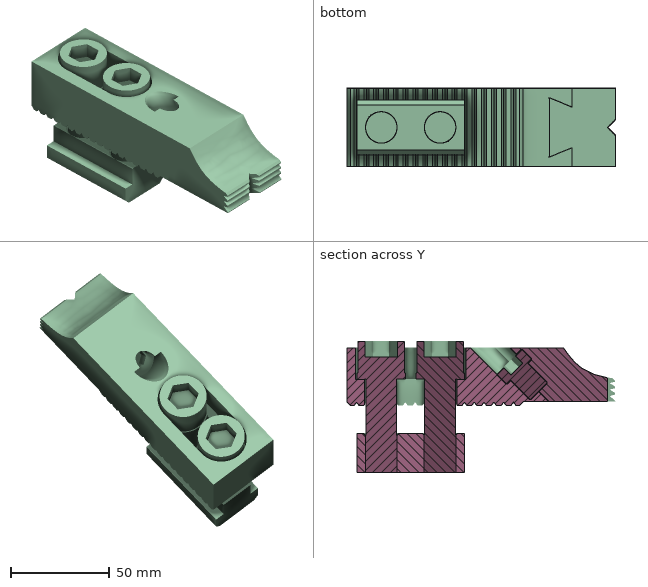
import cadquery as cq
import math

nut_top = 20.0
base_bottom = 34.1
base_height = 29.6
base_top = base_bottom + base_height
screw_top = 67.0

width = 40.0
tooth_band = 1.9
jaw_bottom = base_bottom + tooth_band
jaw_height = base_top - jaw_bottom
joint_top_x = 87.0
joint_bottom_x = joint_top_x + jaw_height

first_notch_x = 5.0
last_notch_x = 85.0
notch_count = 17
notch_pitch = (last_notch_x - first_notch_x) / (notch_count - 1)
notch_half_width = 1.2
notch_depth = 1.6
strip_lead = 1.8
strip_end_x = 88.1

dovetail_depth = 11.4
dovetail_tip_width = 30.1
dovetail_root_width = 20.8
dovetail_tip_x = joint_top_x - dovetail_depth

jaw_tip_x = 137.0
slope_start_x = 110.4
slope_middle = (119.6, 53.4)
slope_start_angle = -56.0
slope_end_angle = -8.0
nose_end = (135.6, 48.0)
nose_chamfer = 1.1
crest_x = nose_end[0] + nose_chamfer
grip_count = 3
grip_pitch = 3.3
grip_top_z = 45.5
grip_root_x = 134.1
grip_upper_rise = 0.7
grip_lower_drop = 1.6
lip_height = 0.4
vee_depth = 4.0

screw_xs = (17.5, 47.5)
screw_pitch = screw_xs[1] - screw_xs[0]
screws_mid_x = sum(screw_xs) / 2
shank_diameter = 16.0
head_diameter = 24.0
head_height = 16.0
head_hex_flats = 14.0
head_hex_depth = 8.0
collar_diameter = 25.1
collar_height = 3.3
collar_bottom = screw_top - head_height - collar_height
head_slot_width = 26.0
shank_slot_width = 17.0

nut_length = 55.0
nut_width = 28.0
nut_neck_width = 18.0
nut_foot_height = 10.1
nut_chamfer = 2.5
countersink_diameter = 17.8

jaw_screw_diameter = 12.0
jaw_screw_length = 14.0
jaw_head_diameter = 18.0
jaw_head_height = 7.0
jaw_head_sink = 10.3
jaw_hex_flats = 8.0
jaw_hex_depth = 5.2
jaw_hex_turn = 18.0
key_hole_diameter = 10.1


def hexagon_diameter(flats):
    return flats / math.cos(math.pi / 6)


def side_profile(points):
    """Closed XZ outline extruded over the full width, centred on Y = 0."""
    return cq.Workplane("XZ", origin=(0, width / 2, 0)).polyline(points).close().extrude(width)


def jaw_screw_plane(depth):
    """Plane across the jaw screw axis; its normal points down the axis."""
    step = depth / math.sqrt(2)
    origin = (dovetail_tip_x + step, 0, base_top - step)
    return cq.Workplane(cq.Plane(origin=origin, xDir=(0, 1, 0), normal=(1, 0, -1)))


def make_dovetail():
    """Trapezoid on the top face, swept down along the joint."""
    tip = dovetail_tip_width / 2
    root = dovetail_root_width / 2
    outline = [(dovetail_tip_x, -tip), (joint_top_x, -root), (joint_top_x, root), (dovetail_tip_x, tip)]
    corners = [cq.Vector(x, y, base_top) for x, y in outline]
    wire = cq.Wire.makePolygon(corners, close=True)
    sweep = cq.Vector(jaw_height, 0, -jaw_height)
    return cq.Workplane(cq.Solid.extrudeLinear(wire, [], sweep))


def make_jaw_screw_blank():
    """Jaw screw without its socket: head above, shank below."""
    head = jaw_screw_plane(jaw_head_sink).circle(jaw_head_diameter / 2).extrude(jaw_head_height)
    shank_start = jaw_head_sink + jaw_head_height
    shank = jaw_screw_plane(shank_start).circle(jaw_screw_diameter / 2).extrude(jaw_screw_length)
    return head.union(shank)


def make_jaw_screw():
    socket = (
        jaw_screw_plane(jaw_head_sink)
        .transformed(rotate=(0, 0, jaw_hex_turn))
        .polygon(6, hexagon_diameter(jaw_hex_flats))
        .extrude(jaw_hex_depth)
    )
    return make_jaw_screw_blank().cut(socket)


def make_base():
    points = [(0, base_top), (0, jaw_bottom), (strip_lead, base_bottom)]
    for index in range(notch_count):
        x = first_notch_x + index * notch_pitch
        points.append((x - notch_half_width, base_bottom))
        points.append((x, base_bottom + notch_depth))
        points.append((x + notch_half_width, base_bottom))
    points.append((strip_end_x, base_bottom))
    points.append((strip_end_x + strip_lead, jaw_bottom))
    points.append((joint_bottom_x, jaw_bottom))
    points.append((joint_top_x, base_top))
    base = side_profile(points).cut(make_dovetail())

    slot_start = cq.Workplane("XY").center(screws_mid_x, 0)
    head_slot = slot_start.workplane(offset=collar_bottom).slot2D(
        screw_pitch + head_slot_width, head_slot_width
    ).extrude(base_height)
    shank_slot = slot_start.workplane(offset=base_bottom).slot2D(
        screw_pitch + shank_slot_width, shank_slot_width
    ).extrude(base_height)

    bore_length = jaw_head_diameter + jaw_head_sink + jaw_head_height
    bore = jaw_screw_plane(-jaw_head_diameter).circle(jaw_head_diameter / 2).extrude(bore_length)
    return base.cut(head_slot).cut(shank_slot).cut(bore).cut(make_jaw_screw_blank())


def direction(degrees):
    """Unit vector in the XZ outline at an angle from the X axis."""
    angle = math.radians(degrees)
    return math.cos(angle), math.sin(angle)


def make_jaw():
    slope_tangents = [direction(slope_start_angle), direction(slope_end_angle)]
    outline = (
        cq.Workplane("XZ", origin=(0, width / 2, 0))
        .moveTo(joint_top_x, base_top)
        .lineTo(slope_start_x, base_top)
        .spline([slope_middle, nose_end], tangents=slope_tangents, includeCurrent=True)
        .lineTo(crest_x, nose_end[1] - nose_chamfer)
    )
    for index in range(grip_count):
        root_z = grip_top_z - index * grip_pitch
        outline = outline.lineTo(crest_x, root_z + grip_upper_rise).lineTo(grip_root_x, root_z)
        if index < grip_count - 1:
            outline = outline.lineTo(crest_x, root_z - grip_lower_drop)
    outline = (
        outline.lineTo(jaw_tip_x, jaw_bottom + lip_height)
        .lineTo(jaw_tip_x, jaw_bottom)
        .lineTo(joint_bottom_x, jaw_bottom)
        .close()
    )
    jaw = outline.extrude(width).union(make_dovetail())

    vee = (
        cq.Workplane("XY")
        .workplane(offset=jaw_bottom)
        .polyline([(jaw_tip_x - vee_depth, 0), (jaw_tip_x, vee_depth), (jaw_tip_x, -vee_depth)])
        .close()
        .extrude(jaw_height)
    )

    key_hole_length = jaw_head_diameter + jaw_head_sink
    key_hole = jaw_screw_plane(-jaw_head_diameter).circle(key_hole_diameter / 2).extrude(key_hole_length)
    return jaw.cut(vee).cut(key_hole).cut(make_jaw_screw_blank())


def make_clamping_screw(x):
    """Socket head screw with a collar under its head, ending flush with the T-nut."""
    start = cq.Workplane("XY").center(x, 0)
    shank = start.circle(shank_diameter / 2).extrude(collar_bottom)
    collar = start.workplane(offset=collar_bottom).circle(collar_diameter / 2).extrude(collar_height)
    head = (
        start.workplane(offset=collar_bottom + collar_height)
        .circle(head_diameter / 2)
        .extrude(head_height)
    )
    socket = (
        start.workplane(offset=screw_top - head_hex_depth)
        .polygon(6, hexagon_diameter(head_hex_flats))
        .extrude(head_hex_depth)
    )
    return shank.union(collar).union(head).cut(socket)


def make_nut():
    foot = (
        cq.Workplane("XY")
        .center(screws_mid_x, 0)
        .box(nut_length, nut_width, nut_foot_height, centered=(True, True, False))
        .edges("|X and <Z")
        .chamfer(nut_chamfer)
    )
    neck = (
        cq.Workplane("XY")
        .center(screws_mid_x, 0)
        .box(nut_length, nut_neck_width, nut_top, centered=(True, True, False))
    )
    return (
        foot.union(neck)
        .faces(">Z")
        .workplane(origin=(0, 0, nut_top))
        .pushPoints([(x, 0) for x in screw_xs])
        .cskHole(shank_diameter, countersink_diameter, 90)
    )


base = make_base()
jaw = make_jaw()
jaw_screw = make_jaw_screw()
nut = make_nut()
clamping_screws = [make_clamping_screw(x) for x in screw_xs]

result = cq.Compound.makeCompound(
    [base.val(), jaw.val(), jaw_screw.val(), nut.val(), *[screw.val() for screw in clamping_screws]]
)